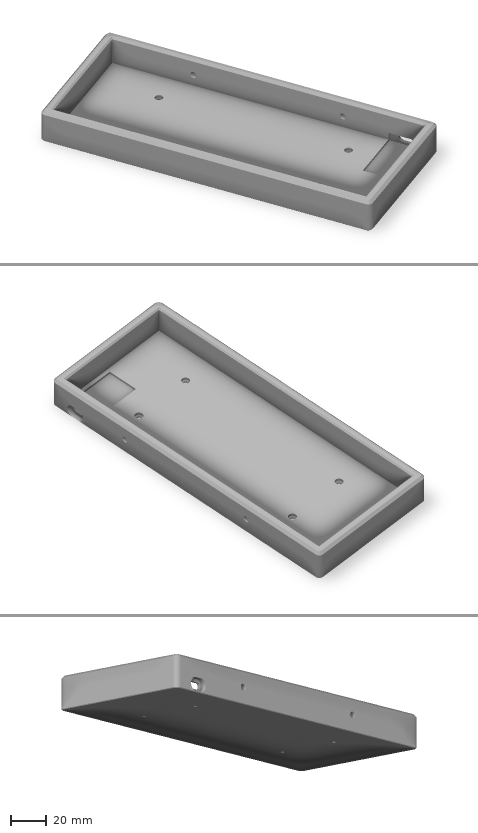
import cadquery as cq
length = 207.5
width = 88.4
height = 20.0
corner_radius = 3.0
top_chamfer = 1.7
bottom_chamfer = 0.5

wall = 5.8
floor_thickness = 2.5
rim_chamfer = 1.0

screw_hole_diameter = 2.0
screw_head_diameter = 5.0
screw_head_depth = 1.7
screw_spacing_x = 118.8
screw_spacing_y = 38.5

wall_hole_diameter = 4.0
wall_hole_spacing = 93.7
wall_hole_height = 9.7

pocket_center_x = 85.5
pocket_width = 20.3
pocket_front_y = 4.8
pocket_floor_depth = 1.5
pocket_wall_depth = 1.5
pocket_rise = 4.5

slot_width = 9.0
slot_height = 4.1
slot_center_height = 4.5

recess_width = 12.5
recess_height = 8.0
slot_web = 1.5

back_inner_y = width / 2 - wall


def make_shell():
    """Open tray with rounded corners and a bevelled rim."""
    body = cq.Workplane("XY").box(length, width, height, centered=(True, True, False))
    body = body.edges("|Z").fillet(corner_radius)
    body = body.faces(">Z").chamfer(top_chamfer)
    body = body.faces("<Z").chamfer(bottom_chamfer)
    cavity = (
        cq.Workplane("XY")
        .workplane(offset=floor_thickness)
        .rect(length - 2 * wall, width - 2 * wall)
        .extrude(height - floor_thickness)
    )
    body = body.cut(cavity)
    return body.faces(">Z").wires(cq.selectors.LengthNthSelector(0)).chamfer(rim_chamfer)


def cut_screw_holes(body):
    """Four counterbored holes through the floor, with the head recess on the inside."""
    centers = cq.Workplane("XY").rect(screw_spacing_x, screw_spacing_y, forConstruction=True).vertices()
    shanks = centers.circle(screw_hole_diameter / 2).extrude(floor_thickness)
    heads = centers.circle(screw_head_diameter / 2).extrude(screw_head_depth)
    return body.cut(shanks).cut(heads.translate((0, 0, floor_thickness - screw_head_depth)))


def back_wall_plane(center_x, center_z):
    """Sketch plane on the inner face of the back wall, facing out along +Y."""
    return cq.Workplane(cq.Plane((center_x, back_inner_y, center_z), (1, 0, 0), (0, 1, 0)))


def cut_wall_holes(body):
    """Two round holes through the back wall."""
    holes = (
        back_wall_plane(0, wall_hole_height)
        .pushPoints([(-wall_hole_spacing / 2, 0), (wall_hole_spacing / 2, 0)])
        .circle(wall_hole_diameter / 2)
        .extrude(wall)
    )
    return body.cut(holes)


def cut_connector(body):
    """Pocket for the connector board and the rounded slot behind it."""
    pocket = (
        cq.Workplane("XY")
        .box(
            pocket_width,
            back_inner_y + pocket_wall_depth - pocket_front_y,
            pocket_floor_depth + pocket_rise,
            centered=(True, False, False),
        )
        .translate((pocket_center_x, pocket_front_y, floor_thickness - pocket_floor_depth))
    )
    slot = (
        back_wall_plane(pocket_center_x, slot_center_height)
        .slot2D(slot_width, slot_height)
        .extrude(wall)
    )
    recess = (
        back_wall_plane(pocket_center_x, slot_center_height)
        .workplane(offset=pocket_wall_depth + slot_web)
        .slot2D(recess_width, recess_height)
        .extrude(wall - pocket_wall_depth - slot_web)
    )
    return body.cut(pocket).cut(slot).cut(recess)


result = cut_connector(cut_wall_holes(cut_screw_holes(make_shell())))